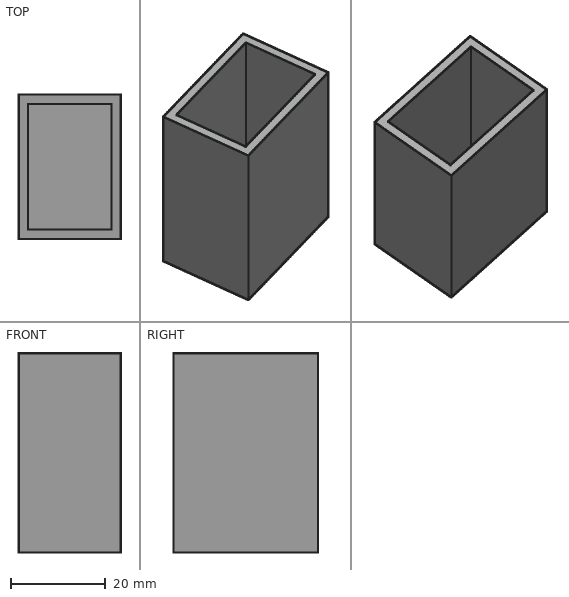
import cadquery as cq

width = 21.5
depth = 30.5
height = 42.0

wall = 2.0

pocket_width = width - 2 * wall
pocket_depth = depth - 2 * wall
pocket_height = height - wall

outer_block = cq.Workplane("XY").box(width, depth, height, centered=(True, True, False))

pocket = (
    cq.Workplane("XY")
    .workplane(offset=wall)
    .box(pocket_width, pocket_depth, pocket_height, centered=(True, True, False))
)

result = outer_block.cut(pocket)